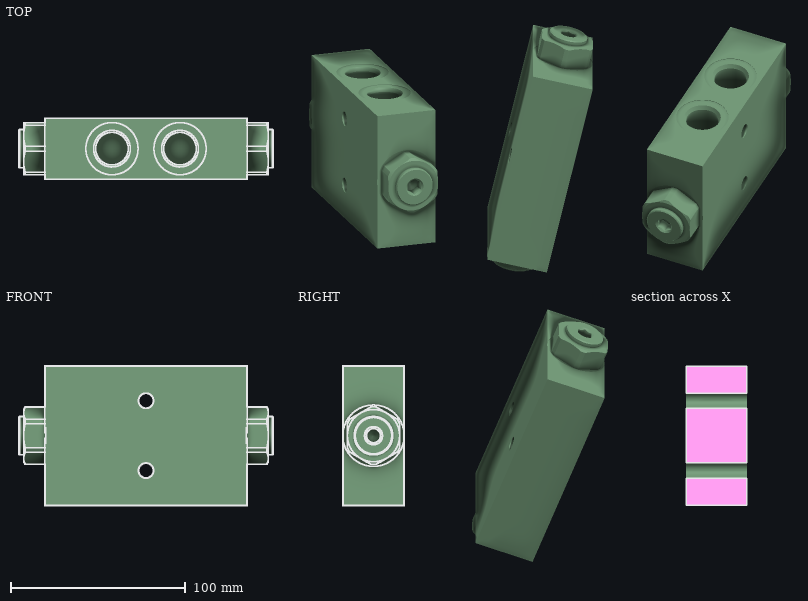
import cadquery as cq
import math

overall_length = 146.0
block_length = 115.9
block_thickness = 35.0
block_height = 80.0

port_spacing = 39.0
port_diameter = 18.7
port_depth = 20.5
port_mouth_diameter = 21.0
port_mouth_depth = 2.3
port_spotface_diameter = 30.0
port_spotface_depth = 0.3

mount_hole_diameter = 8.5
mount_hole_spacing = block_height / 2

plug_spotface_diameter = 35.2
plug_spotface_depth = 0.5
hex_across_flats = 30.0
hex_corner_diameter = 33.0
hex_face_diameter = 30.0
hex_bevel_angle = 30.0
cap_diameter = 22.0
cap_height = 2.9
cap_chamfer = 0.6
plug_height = (overall_length - block_length) / 2
hex_height = plug_height - cap_height

socket_across_flats = 8.0
socket_depth = 7.3
socket_mouth_diameter = 10.4
drill_point_angle = 118.0


def across_corners(across_flats):
    """Circumscribed diameter of a regular hexagon."""
    return across_flats / math.cos(math.pi / 6)


def cone(large_diameter, small_diameter, height, top_z):
    """Cone frustum that narrows downwards from its large end at top_z."""
    return (
        cq.Workplane("XY", origin=(0, 0, top_z))
        .circle(large_diameter / 2)
        .workplane(offset=-height)
        .circle(small_diameter / 2)
        .loft()
    )


def hexagon_prism(across_flats, bottom_z, height):
    """Hexagonal prism with two of its corners on the X axis."""
    return (
        cq.Workplane("XY", origin=(0, 0, bottom_z))
        .polygon(6, across_corners(across_flats))
        .extrude(height)
    )


def make_block():
    """Valve block with the mounting holes drilled through it."""
    return (
        cq.Workplane("XY")
        .box(block_length, block_thickness, block_height)
        .faces("<Y")
        .workplane(origin=(0, 0, 0))
        .pushPoints([(0, -mount_hole_spacing / 2), (0, mount_hole_spacing / 2)])
        .hole(mount_hole_diameter)
    )


def make_port_cutter():
    """Spotface, tapered mouth and flat-bottomed bore, with the block face at z = 0."""
    spotface = cq.Workplane("XY").circle(port_spotface_diameter / 2).extrude(-port_spotface_depth)
    mouth = cone(port_mouth_diameter, port_diameter, port_mouth_depth, -port_spotface_depth)
    bore = cq.Workplane("XY").circle(port_diameter / 2).extrude(-port_depth)
    return spotface.union(mouth).union(bore)


def make_socket_cutter():
    """Hexagon socket with a bevelled mouth and a drill-point floor."""
    mouth_depth = (socket_mouth_diameter - socket_across_flats) / 2
    point_height = socket_across_flats / 2 / math.tan(math.radians(drill_point_angle / 2))
    socket_floor = plug_height - socket_depth
    socket = hexagon_prism(socket_across_flats, socket_floor, socket_depth)
    mouth = cone(socket_mouth_diameter, socket_across_flats, mouth_depth, plug_height)
    point = cq.Workplane(
        cq.Solid.makeCone(
            socket_across_flats / 2,
            0,
            point_height,
            pnt=cq.Vector(0, 0, socket_floor),
            dir=cq.Vector(0, 0, -1),
        )
    )
    return socket.union(mouth).union(point)


def make_plug():
    """Plug standing on the block face at z = 0, its foot seated in the spotface."""
    corner_radius = hex_corner_diameter / 2
    face_radius = hex_face_diameter / 2
    bevel_height = (corner_radius - face_radius) * math.tan(math.radians(hex_bevel_angle))
    turned_envelope = (
        cq.Workplane("XZ")
        .moveTo(0, -plug_spotface_depth)
        .lineTo(corner_radius, -plug_spotface_depth)
        .lineTo(corner_radius, hex_height - bevel_height)
        .lineTo(face_radius, hex_height)
        .lineTo(0, hex_height)
        .close()
        .revolve(360, (0, 0, 0), (0, 1, 0))
    )
    hexagon = hexagon_prism(hex_across_flats, -plug_spotface_depth, hex_height + plug_spotface_depth)
    cap = (
        cq.Workplane("XY", origin=(0, 0, hex_height))
        .circle(cap_diameter / 2)
        .extrude(cap_height)
        .faces(">Z")
        .chamfer(cap_chamfer)
    )
    return hexagon.intersect(turned_envelope).union(cap).cut(make_socket_cutter())


def place_on_end(shape, side):
    """Turn a shape built along +Z to point out of the -X (side = -1) or +X (side = 1) end."""
    return shape.rotate((0, 0, 0), (0, 1, 0), side * 90).translate((side * block_length / 2, 0, 0))


result = make_block()

for port_x in (-port_spacing / 2, port_spacing / 2):
    result = result.cut(make_port_cutter().translate((port_x, 0, block_height / 2)))

plug_spotface = cq.Workplane("XY").circle(plug_spotface_diameter / 2).extrude(-plug_spotface_depth)
for side in (-1, 1):
    result = result.cut(place_on_end(plug_spotface, side))
    result = result.union(place_on_end(make_plug(), side))